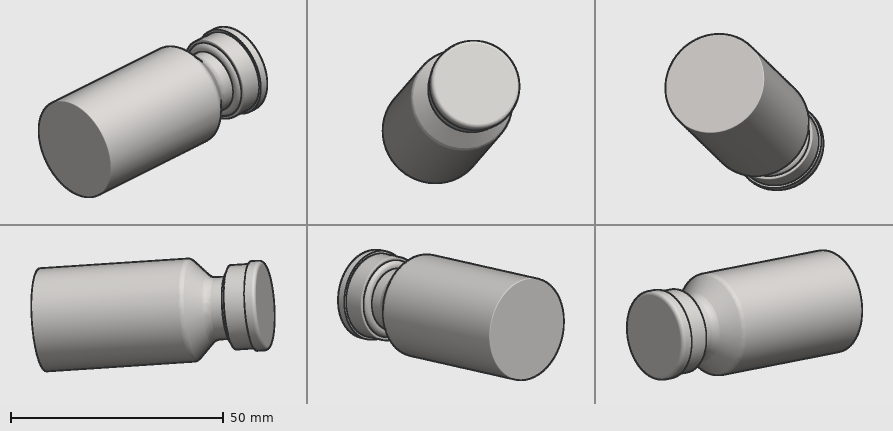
import cadquery as cq

TOTAL_LENGTH = 53.8
CAP_LENGTH = 2.7
CRIMP_LENGTH = 5.1
LIP_PROTRUSION = 0.9
SHOULDER_HEIGHT = 36.35

BODY_DIAMETER = 24.4
NECK_DIAMETER = 14.8
LIP_DIAMETER = 18.45
CRIMP_DIAMETER = 20.0
CAP_DIAMETER = 21.25

BASE_ROUNDING = 0.2
SHOULDER_ROUNDING = 1.5
NECK_ROUNDING = 2.55
LIP_ROUNDING = 1.35
CRIMP_ROUNDING = 0.15
CAP_ROUNDING = 0.9

CAP_BOTTOM = TOTAL_LENGTH - CAP_LENGTH
CRIMP_BOTTOM = CAP_BOTTOM - CRIMP_LENGTH
LIP_BOTTOM = CRIMP_BOTTOM - LIP_PROTRUSION
CRIMP_WALL = (CRIMP_DIAMETER - LIP_DIAMETER) / 2
LIP_TOP = CAP_BOTTOM - CRIMP_WALL
NECK_HEIGHT = SHOULDER_HEIGHT + (BODY_DIAMETER - NECK_DIAMETER) / 2


def disc(diameter, bottom, top):
    """Round disc along Y between two heights."""
    return cq.Workplane("XZ", origin=(0, bottom, 0)).circle(diameter / 2).extrude(bottom - top)


def round_edge(body, diameter, height, rounding):
    """Fillet the circular edge that has this diameter and height."""
    margin = 0.005
    reach = diameter / 2 + margin
    edge_box = cq.selectors.BoxSelector(
        (-reach, height - margin, -reach), (reach, height + margin, reach), boundingbox=True
    )
    circles = body.edges(edge_box).edges(cq.selectors.RadiusNthSelector(-1))
    return circles.fillet(rounding)


def make_vial():
    """Vial with rounded base, conical shoulder, neck and lip."""
    body_radius = BODY_DIAMETER / 2
    neck_radius = NECK_DIAMETER / 2
    lip_radius = LIP_DIAMETER / 2
    profile = [
        (0, 0),
        (body_radius, 0),
        (body_radius, SHOULDER_HEIGHT),
        (neck_radius, NECK_HEIGHT),
        (neck_radius, LIP_BOTTOM),
        (lip_radius, LIP_BOTTOM),
        (lip_radius, LIP_TOP),
        (0, LIP_TOP),
    ]
    vial = cq.Workplane("XY").polyline(profile).close().revolve(360, (0, 0, 0), (0, 1, 0))
    vial = round_edge(vial, BODY_DIAMETER, 0, BASE_ROUNDING)
    vial = round_edge(vial, BODY_DIAMETER, SHOULDER_HEIGHT, SHOULDER_ROUNDING)
    vial = round_edge(vial, NECK_DIAMETER, NECK_HEIGHT, NECK_ROUNDING)
    return round_edge(vial, LIP_DIAMETER, LIP_BOTTOM, LIP_ROUNDING)


def make_crimp_seal():
    """Cup that fits over the vial lip."""
    seal = disc(CRIMP_DIAMETER, CRIMP_BOTTOM, CAP_BOTTOM)
    seal = round_edge(seal, CRIMP_DIAMETER, CRIMP_BOTTOM, CRIMP_ROUNDING)
    return seal.cut(disc(LIP_DIAMETER, CRIMP_BOTTOM, LIP_TOP))


def make_cap():
    """Disc with a rounded top edge, lying on the crimp seal."""
    cap = disc(CAP_DIAMETER, CAP_BOTTOM, TOTAL_LENGTH)
    return round_edge(cap, CAP_DIAMETER, TOTAL_LENGTH, CAP_ROUNDING)


vial = make_vial()
crimp_seal = make_crimp_seal()
cap = make_cap()

result = cq.Compound.makeCompound([vial.val(), crimp_seal.val(), cap.val()])